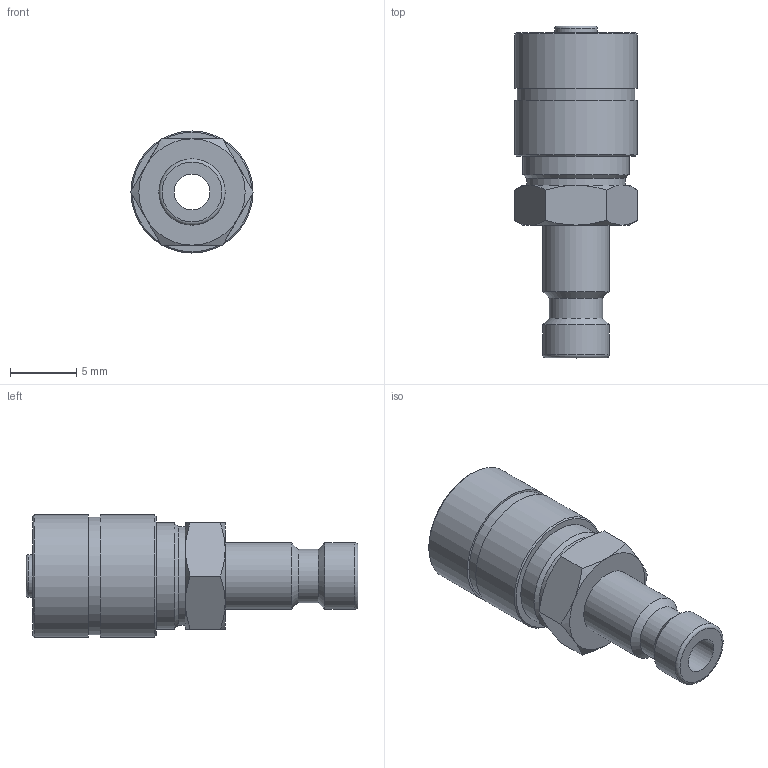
import cadquery as cq
import math


bore_dia = 2.7
plug_dia = 5.0
latch_groove_dia = 4.0
hex_sides = 6
hex_across_flats = 8.0
relief_dia = 7.45
collar_dia = 8.0
sleeve_dia = 9.2
sleeve_groove_dia = 8.85
tail_dia = 3.2

plug_head_end = 2.5
plug_end = 10.0
hex_width = 3.0
hex_end = plug_end + hex_width
collar_start = 13.8
sleeve_start = 15.2
sleeve_groove_start = 19.4
sleeve_groove_width = 0.9
sleeve_groove_end = sleeve_groove_start + sleeve_groove_width
sleeve_end = 24.5
overall_length = 25.0

latch_floor_width = 1.5
latch_flank = (plug_dia - latch_groove_dia) / 2
latch_floor_start = plug_head_end + latch_flank
latch_floor_end = latch_floor_start + latch_floor_width
latch_groove_end = latch_floor_end + latch_flank

tip_fillet = 0.25
hex_chamfer_angle = 30.0
collar_chamfer = (collar_dia - relief_dia) / 2
sleeve_chamfer = 0.1
tail_fillet = 0.2


def cylinder(diameter, start, end):
    """Solid cylinder about the Y axis between two stations."""
    plane = cq.Workplane("XZ", origin=(0, start, 0))
    return plane.circle(diameter / 2).extrude(start - end)


def revolve_profile(points):
    """Turn a closed (radius, station) outline about the Y axis."""
    outline = cq.Workplane("XY").polyline(points).close()
    return outline.revolve(360, (0, 0, 0), (0, 1, 0))


def make_plug():
    """Plug stem with its rounded tip and the latch groove."""
    plug_radius = plug_dia / 2
    groove_radius = latch_groove_dia / 2
    stem = revolve_profile([
        (0, 0),
        (plug_radius, 0),
        (plug_radius, plug_head_end),
        (groove_radius, latch_floor_start),
        (groove_radius, latch_floor_end),
        (plug_radius, latch_groove_end),
        (plug_radius, plug_end),
        (0, plug_end),
    ])
    return stem.faces("<Y").edges().fillet(tip_fillet)


def make_hex():
    """Hexagon with corners on +X and -X, both ends chamfered by a cone."""
    across_corners = hex_across_flats / math.cos(math.pi / hex_sides)
    plane = cq.Workplane("XZ", origin=(0, plug_end, 0))
    prism = plane.polygon(hex_sides, across_corners).extrude(-hex_width)

    flat_radius = hex_across_flats / 2
    corner_radius = across_corners / 2
    corner_drop = (corner_radius - flat_radius) * math.tan(math.radians(hex_chamfer_angle))
    envelope = revolve_profile([
        (0, plug_end),
        (flat_radius, plug_end),
        (corner_radius, plug_end + corner_drop),
        (corner_radius, hex_end - corner_drop),
        (flat_radius, hex_end),
        (0, hex_end),
    ])
    return prism.intersect(envelope)


def make_collar():
    """Collar behind the hexagon, tapering down to the relief."""
    relief = cylinder(relief_dia, hex_end, sleeve_start)
    collar = cylinder(collar_dia, collar_start - collar_chamfer, sleeve_start)
    return relief.union(collar.faces("<Y").chamfer(collar_chamfer))


def make_sleeve():
    """Outer sleeve with broken end edges and a shallow groove around it."""
    sleeve = cylinder(sleeve_dia, sleeve_start, sleeve_end)
    sleeve = sleeve.faces("<Y or >Y").chamfer(sleeve_chamfer)
    groove = cylinder(sleeve_dia, sleeve_groove_start, sleeve_groove_end)
    groove_floor = cylinder(sleeve_groove_dia, sleeve_groove_start, sleeve_groove_end)
    return sleeve.cut(groove.cut(groove_floor))


def make_tail():
    """Short tube end standing out of the sleeve."""
    tail = cylinder(tail_dia, sleeve_end, overall_length)
    return tail.faces(">Y").edges().fillet(tail_fillet)


body = make_plug()
for section in (make_hex(), make_collar(), make_sleeve(), make_tail()):
    body = body.union(section)

result = body.cut(cylinder(bore_dia, 0, overall_length))